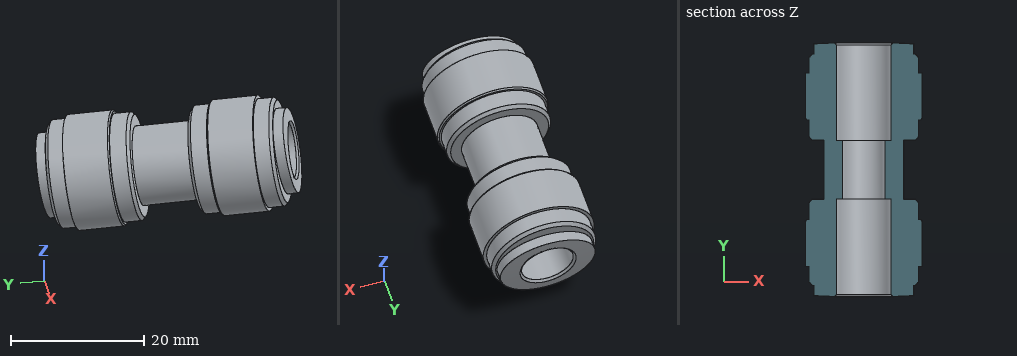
import cadquery as cq

length = 38.2
half_length = length / 2
body_inner_end = 4.45
ring_inner_end = 7.45
ring_outer_end = 14.55
body_outer_end = 17.42

neck_radius = 6.05
body_radius = 8.25
ring_radius = 17.6 / 2
body_chamfer = 0.5
ring_chamfer = 0.23

collet_half_width = 7.53
collet_half_height = neck_radius
collet_face_drop = 0.15

passage_radius = 3.17
socket_radius = 4.1
mouth_radius = 4.45
mouth_depth = mouth_radius - socket_radius
socket_floor = body_inner_end


def cylinder(radius, start, end):
    """Solid cylinder about the Y axis between two stations."""
    plane = cq.Plane(origin=(0, start, 0), xDir=(1, 0, 0), normal=(0, 1, 0))
    return cq.Workplane(plane).circle(radius).extrude(end - start)


def revolve_profile(points):
    """Revolve an outline of (radius, station) points about the Y axis."""
    return cq.Workplane("XY").polyline(points).close().revolve(360, (0, 0), (0, 1))


def make_body():
    body = cylinder(body_radius, body_inner_end, body_outer_end)
    return body.edges().chamfer(body_chamfer)


def make_ring():
    ring = cylinder(ring_radius, ring_inner_end, ring_outer_end)
    return ring.faces("<Y").edges().chamfer(ring_chamfer)


def make_collet():
    face_cone = revolve_profile([
        (0, body_inner_end),
        (collet_half_width, body_inner_end),
        (collet_half_width, half_length - collet_face_drop),
        (mouth_radius, half_length),
        (0, half_length),
    ])
    plane = cq.Plane(origin=(0, body_inner_end, 0), xDir=(1, 0, 0), normal=(0, 1, 0))
    oval = cq.Workplane(plane).ellipse(collet_half_width, collet_half_height)
    return oval.extrude(half_length - body_inner_end).intersect(face_cone)


def make_socket():
    return revolve_profile([
        (0, socket_floor),
        (socket_radius, socket_floor),
        (socket_radius, half_length - mouth_depth),
        (mouth_radius, half_length),
        (0, half_length),
    ])


end_fitting = make_body().union(make_ring()).union(make_collet()).cut(make_socket())
neck = cylinder(neck_radius, -body_inner_end, body_inner_end)
result = neck.union(end_fitting).union(end_fitting.mirror("XZ"))
result = result.cut(cylinder(passage_radius, -half_length, half_length))